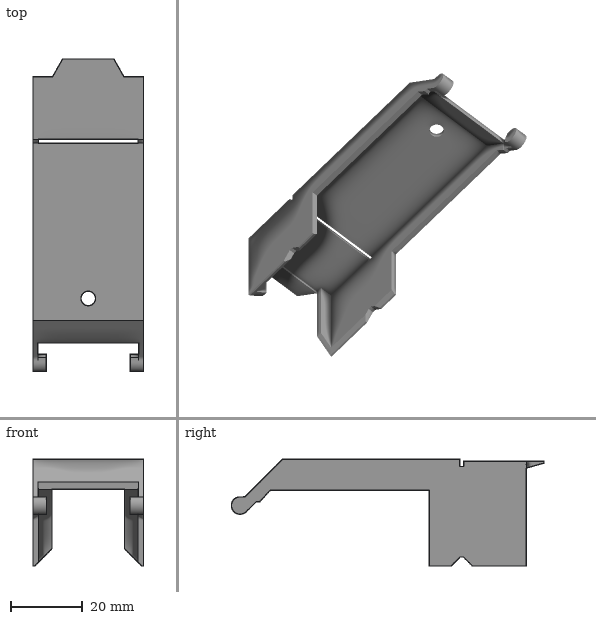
import math

import cadquery as cq


width = 31.0
length = 87.47
height = 29.9
wall = 1.6
deck_thickness = 1.5

body_depth = 27.2
underside_z = 21.2
slope_start_y = -68.2
neck_start_y = -71.6

rear_step = 0.5
groove_rear_y = -17.5
groove_width = 1.1
groove_depth = 2.0

lip_length = 5.0
lip_tip_width = 14.3
lip_base_width = 20.0
lip_tip_thickness = 0.6
lip_base_thickness = 2.0

arm_thickness = 1.4
arm_start_y = slope_start_y - 6.3
arm_step_z = 18.0
pin_radius = 2.45
pin_length = 3.8
pin_y = lip_length - length + pin_radius
pin_z = height - 12.95
pin_top_z = pin_z + pin_radius
pin_flat_length = 1.55
arm_blend_radius = 1.2

window_margin = 5.4
bevel_land = 0.5
notch_y = -18.0
notch_mouth = 6.0
notch_floor = 1.0
notch_depth = 2.5
hole_diameter = 4.0
hole_y = -62.0

half_width = width / 2
rear_top_z = height - rear_step
ceiling_z = height - deck_thickness
groove_front_y = groove_rear_y - groove_width
half_bend = math.radians(45) / 2
diagonal = math.sqrt(0.5)


def extrude_side(sketch, x_start, distance):
    """Extrude a closed YZ sketch along +X from x_start."""
    return sketch.extrude(distance).translate((x_start, 0, 0))


def centred_block(x_size, y_front, y_rear, z_top):
    """Block symmetric about X = 0, standing on Z = 0."""
    block = cq.Workplane("XY").box(x_size, y_rear - y_front, z_top, centered=(True, False, False))
    return block.translate((0, y_front, 0))


def both_sides(shape):
    """Add the mirror image of a shape on the other side of X = 0."""
    return shape.union(shape.mirror("YZ"))


def make_envelope():
    """Full-width solid with the side outline, including the hinge arm."""
    slope_corner_y = slope_start_y - (height - pin_top_z)
    blend_tangent = arm_blend_radius * math.tan(half_bend)
    blend_start = (slope_corner_y + blend_tangent * diagonal, pin_top_z + blend_tangent * diagonal)
    blend_end = (slope_corner_y - blend_tangent, pin_top_z)
    blend_middle = (
        blend_end[0] + arm_blend_radius * math.sin(half_bend),
        pin_top_z + arm_blend_radius * (1 - math.cos(half_bend)),
    )
    arm_tangent = (pin_y + pin_radius * diagonal, pin_z - pin_radius * diagonal)
    arm_lower_start_y = arm_tangent[0] + arm_step_z - arm_tangent[1]

    outline = (
        cq.Workplane("YZ")
        .moveTo(0, 0)
        .lineTo(0, rear_top_z)
        .lineTo(groove_rear_y, rear_top_z)
        .lineTo(groove_rear_y, height - groove_depth)
        .lineTo(groove_front_y, height - groove_depth)
        .lineTo(groove_front_y, height)
        .lineTo(slope_start_y, height)
        .lineTo(*blend_start)
        .threePointArc(blend_middle, blend_end)
        .lineTo(pin_y, pin_top_z)
        .threePointArc((pin_y - pin_radius * diagonal, pin_z - pin_radius * diagonal), arm_tangent)
        .lineTo(arm_lower_start_y, arm_step_z)
        .lineTo(arm_start_y, arm_step_z)
        .lineTo(neck_start_y, underside_z)
        .lineTo(-body_depth, underside_z)
        .lineTo(-body_depth, 0)
        .close()
    )
    return extrude_side(outline, -half_width, width)


def make_cavity():
    """Space under the deck, between the side walls, open at the bottom and front."""
    bend_y = slope_start_y + deck_thickness * math.tan(half_bend)
    arm_ceiling_z = ceiling_z - (bend_y - arm_start_y)
    outline = (
        cq.Workplane("YZ")
        .moveTo(-wall, 0)
        .lineTo(-wall, ceiling_z)
        .lineTo(bend_y, ceiling_z)
        .lineTo(arm_start_y, arm_ceiling_z)
        .lineTo(arm_start_y, 0)
        .close()
    )
    return extrude_side(outline, wall - half_width, width - 2 * wall)


def make_groove_opening():
    """Slit through the deck along the groove, between the side walls."""
    return centred_block(width - 2 * wall, groove_front_y, groove_rear_y, height)


def make_arm_gap():
    """Opening between the two hinge arms."""
    return centred_block(width - 2 * arm_thickness, pin_y - pin_radius, arm_start_y, height)


def make_rear_window():
    """Opening in the rear wall, from the bottom up to the deck."""
    return centred_block(width - 2 * window_margin, -wall, 0, ceiling_z)


def make_bottom_bevels():
    """45 degree cuts rising inwards from the bottom edge of both side walls."""
    bevel = window_margin - bevel_land
    outer_x = bevel_land - half_width
    cutter = (
        cq.Workplane("XZ")
        .polyline([(outer_x, 0), (outer_x + bevel, bevel), (outer_x + bevel, 0)])
        .close()
        .extrude(body_depth)
    )
    return both_sides(cutter)


def make_bottom_notch():
    """Flat-topped V notch across the bottom edges of both side walls."""
    outline = (
        cq.Workplane("YZ")
        .moveTo(notch_y - notch_mouth / 2, 0)
        .lineTo(notch_y - notch_floor / 2, notch_depth)
        .lineTo(notch_y + notch_floor / 2, notch_depth)
        .lineTo(notch_y + notch_mouth / 2, 0)
        .close()
    )
    return extrude_side(outline, -half_width, width)


def make_deck_hole():
    """Round hole through the front part of the deck."""
    return cq.Workplane("XY").center(0, hole_y).circle(hole_diameter / 2).extrude(height)


def make_lip():
    """Tapered lip behind the rear wall: a trapezoid from above, a wedge from the side."""
    plan = (
        cq.Workplane("XY")
        .moveTo(-lip_base_width / 2, 0)
        .lineTo(-lip_tip_width / 2, lip_length)
        .lineTo(lip_tip_width / 2, lip_length)
        .lineTo(lip_base_width / 2, 0)
        .close()
        .extrude(height)
    )
    wedge = (
        cq.Workplane("YZ")
        .moveTo(0, rear_top_z)
        .lineTo(lip_length, rear_top_z)
        .lineTo(lip_length, rear_top_z - lip_tip_thickness)
        .lineTo(0, rear_top_z - lip_base_thickness)
        .close()
    )
    return plan.intersect(extrude_side(wedge, -half_width, width))


def make_pins():
    """Round hinge pins pointing inwards, squared off behind their top line."""
    round_pin = cq.Workplane("YZ").center(pin_y, pin_z).circle(pin_radius)
    square_top = cq.Workplane("YZ").center(pin_y, pin_z).rect(
        pin_flat_length, pin_radius, centered=False
    )
    pin = extrude_side(round_pin, -half_width, pin_length)
    pin = pin.union(extrude_side(square_top, -half_width, pin_length))
    return both_sides(pin)


result = (
    make_envelope()
    .cut(make_cavity())
    .cut(make_groove_opening())
    .cut(make_arm_gap())
    .cut(make_rear_window())
    .cut(make_bottom_bevels())
    .cut(make_bottom_notch())
    .cut(make_deck_hole())
    .union(make_lip())
    .union(make_pins())
)